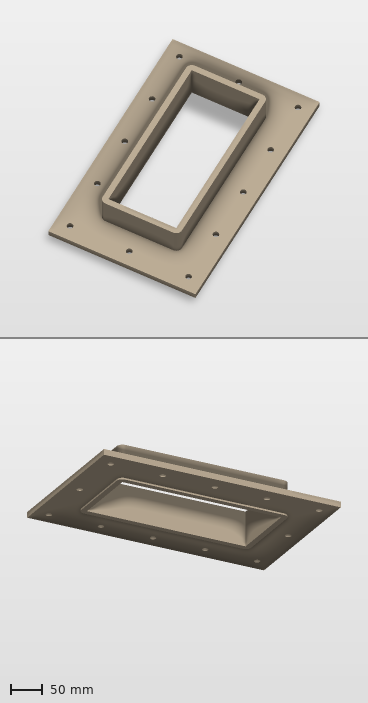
import cadquery as cq

plate_width = 260.5
plate_length = 418.0
plate_thickness = 10.0

wall = 10.0
opening_width = 120.0
opening_length = 280.0
collar_width = opening_width + 2 * wall
collar_length = opening_length + 2 * wall
collar_height = 60.0
collar_corner_radius = wall
lower_projection = 3.0

hole_diameter = 10.5
hole_x = 105.0
hole_y = 184.0
side_hole_count = 5
hole_pitch = 2 * hole_y / (side_hole_count - 1)


def bolt_positions():
    """Full rows along both long sides, plus one hole midway along each short side."""
    side_rows = [
        (x, -hole_y + i * hole_pitch)
        for x in (-hole_x, hole_x)
        for i in range(side_hole_count)
    ]
    return side_rows + [(0, -hole_y), (0, hole_y)]


def flange_plate():
    plate = cq.Workplane("XY").rect(plate_width, plate_length).extrude(plate_thickness)
    holes = (
        cq.Workplane("XY")
        .pushPoints(bolt_positions())
        .circle(hole_diameter / 2)
        .extrude(plate_thickness)
    )
    return plate.cut(holes)


def collar_block():
    return (
        cq.Workplane("XY", origin=(0, 0, -lower_projection))
        .rect(collar_width, collar_length)
        .extrude(collar_height)
        .edges("|Z")
        .fillet(collar_corner_radius)
    )


def opening():
    return (
        cq.Workplane("XY", origin=(0, 0, -lower_projection))
        .rect(opening_width, opening_length)
        .extrude(collar_height)
    )


result = flange_plate().union(collar_block()).cut(opening())